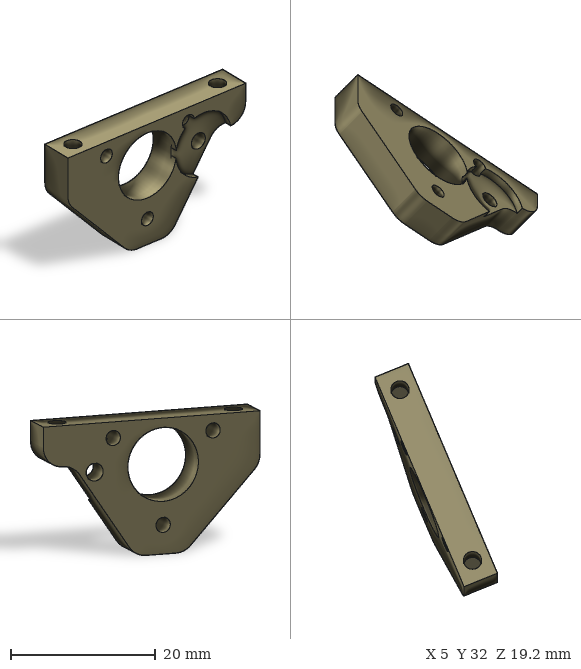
import cadquery as cq
import math

thickness = 5.0
length = 32.0
height = 19.17
half_length = length / 2

ledge_z = -5.8
ledge_inner_y = 11.52
bottom_left_y = 2.4
bottom_right_y = -4.85
right_side_bottom_z = -7.33
corner_radius = 3.0
ledge_end_radius = 2.85

bore_y = -1.7
bore_z = -6.53
bore_diameter = 10.4
mount_circle_radius = 8.5
mount_hole_diameter = 2.1
mount_hole_angles = (30, 150, 270)

shaft_y = 8.4
shaft_z = -6.88
shaft_hole_diameter = 2.5
recess_radius = 5.0
recess_depth = 1.12

top_hole_y = 13.02
top_hole_diameter = 2.5
top_hole_depth = 4.0


def round_corner(plate, corner, radius):
    """Fillet the X-parallel edge at the given (y, z) corner."""
    y, z = corner
    nearest = cq.selectors.NearestToPointSelector((thickness / 2, y, z))
    return plate.edges("|X").edges(nearest).fillet(radius)


def make_plate():
    """Extrude the outline and round every corner below the top face."""
    corners = [
        (half_length, 0),
        (half_length, ledge_z),
        (ledge_inner_y, ledge_z),
        (bottom_left_y, -height),
        (bottom_right_y, -height),
        (-half_length, right_side_bottom_z),
        (-half_length, 0),
    ]
    plate = cq.Workplane("YZ").polyline(corners).close().extrude(thickness)
    plate = round_corner(plate, corners[1], ledge_end_radius)
    for corner in corners[2:6]:
        plate = round_corner(plate, corner, corner_radius)
    return plate


def cylinder_along_x(y, z, diameter, start_x=0.0):
    """Cutter from start_x through the +X face."""
    profile = cq.Workplane("YZ", origin=(start_x, y, z)).circle(diameter / 2)
    return profile.extrude(thickness - start_x)


result = make_plate()

result = result.cut(cylinder_along_x(bore_y, bore_z, bore_diameter))
for angle in mount_hole_angles:
    hole_y = bore_y + mount_circle_radius * math.cos(math.radians(angle))
    hole_z = bore_z + mount_circle_radius * math.sin(math.radians(angle))
    result = result.cut(cylinder_along_x(hole_y, hole_z, mount_hole_diameter))

result = result.cut(cylinder_along_x(shaft_y, shaft_z, shaft_hole_diameter))
recess_floor_x = thickness - recess_depth
result = result.cut(cylinder_along_x(shaft_y, shaft_z, 2 * recess_radius, recess_floor_x))

top_holes = (
    cq.Workplane("XY")
    .pushPoints([(thickness / 2, top_hole_y), (thickness / 2, -top_hole_y)])
    .circle(top_hole_diameter / 2)
    .extrude(-top_hole_depth)
)
result = result.cut(top_holes)